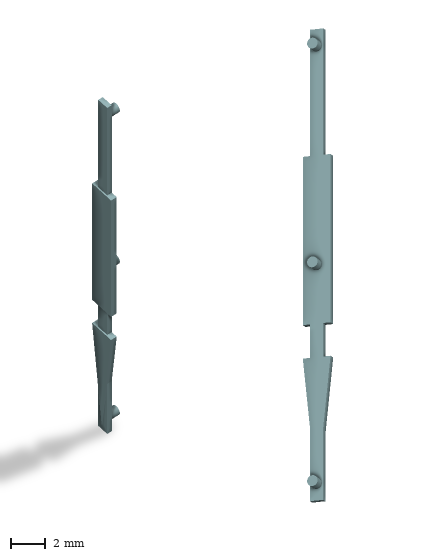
import cadquery as cq

length = 28.0
strip_width = 0.8
strip_thickness = 0.35
plate_width = 1.7
plate_thickness = 0.42
plate_length = 10.0
plate_top_offset = 7.5
wedge_gap = 2.0
wedge_tip_offset = 0.5
pin_diameter = 0.65
total_depth = 1.1
pin_end_offset = 1.0

half_length = length / 2
pin_length = total_depth - plate_thickness
plate_top = half_length - plate_top_offset
plate_bottom = plate_top - plate_length
wedge_top = plate_bottom - wedge_gap
wedge_tip = wedge_tip_offset - half_length
outer_pin_height = half_length - pin_end_offset


def make_strip():
    """Thin bar over the full length."""
    return cq.Workplane("XZ").rect(strip_width, length).extrude(strip_thickness)


def make_plate():
    """Wide rectangular plate, proud of the strip at the front."""
    plate_middle = (plate_top + plate_bottom) / 2
    return (
        cq.Workplane("XZ")
        .center(0, plate_middle)
        .rect(plate_width, plate_length)
        .extrude(plate_thickness)
    )


def make_wedge():
    """Triangular plate narrowing to a point near the bottom end."""
    half_width = plate_width / 2
    return (
        cq.Workplane("XZ")
        .polyline([(-half_width, wedge_top), (half_width, wedge_top), (0, wedge_tip)])
        .close()
        .extrude(plate_thickness)
    )


def make_pins():
    """Round pins on the back face: one at the middle and one near each end."""
    pin_heights = (-outer_pin_height, 0, outer_pin_height)
    return (
        cq.Workplane("XZ")
        .pushPoints([(0, height) for height in pin_heights])
        .circle(pin_diameter / 2)
        .extrude(-pin_length)
    )


result = make_strip().union(make_plate()).union(make_wedge()).union(make_pins())